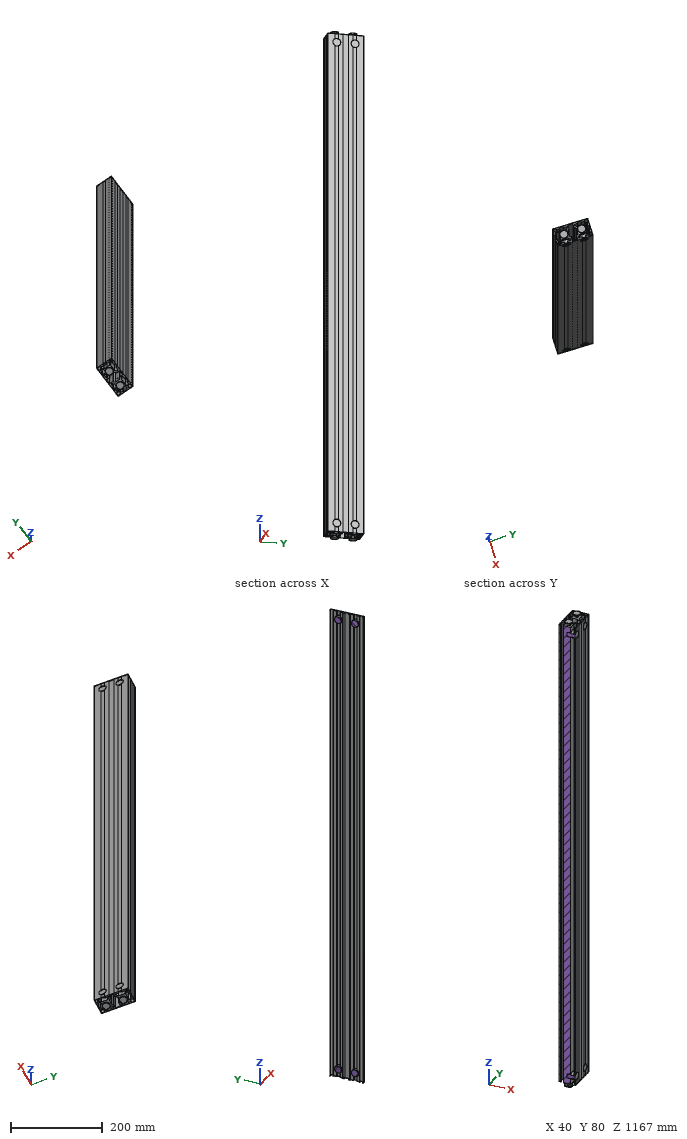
import cadquery as cq

overall_length = 1167.0
width = 40.0
depth = 80.0
protrusion = 8.8
half_length = overall_length / 2 - protrusion
profile_length = 2 * half_length
cell_y = (depth - width) / 2

slot_skin = 1.0
slot_neck_width = 7.9
slot_lip_depth = 4.2
slot_width = 23.0
slot_straight = 2.6
slot_floor_depth = 10.7

chamber_width = 16.0
chamber_height = 20.0
chamber_chamfer = 2.6
arm_height = 11.3
arm_skin = 1.9

corner_channel_diameter = 7.5
corner_channel_inset = 4.8

head_diameter = 18.0
head_thickness = 3.0
shank_diameter = 7.5
barrel_diameter = 18.0
barrel_depth = 20.0
barrel_length = width / 2


def make_slot(direction, y):
    """T-slot void of the cell at y, facing the given angle about Z."""
    face = width / 2
    neck_half = slot_neck_width / 2
    slot_half = slot_width / 2
    lip = face - slot_lip_depth
    bend = lip - slot_straight
    floor = face - slot_floor_depth
    floor_half = slot_half - (bend - floor)
    right_side = [
        (neck_half, face - slot_skin),
        (neck_half, lip),
        (slot_half, lip),
        (slot_half, bend),
        (floor_half, floor),
    ]
    left_side = [(-across, out) for across, out in reversed(right_side)]
    void = cq.Workplane("XY").polyline(right_side + left_side).close().extrude(profile_length)
    void = void.rotate((0, 0, 0), (0, 0, 1), direction - 90)
    return void.translate((0, y, -half_length))


def make_chamber():
    """Void between the two cells."""
    middle = (
        cq.Workplane("XY")
        .rect(chamber_width, chamber_height)
        .extrude(profile_length)
        .edges("|Z")
        .chamfer(chamber_chamfer)
    )
    arms = cq.Workplane("XY").rect(width - 2 * arm_skin, arm_height).extrude(profile_length)
    return middle.union(arms).translate((0, 0, -half_length))


def make_corner_channels():
    """Four round voids along the corners."""
    return (
        cq.Workplane("XY")
        .workplane(offset=-half_length)
        .rect(width - 2 * corner_channel_inset, depth - 2 * corner_channel_inset, forConstruction=True)
        .vertices()
        .circle(corner_channel_diameter / 2)
        .extrude(profile_length)
    )


def make_fastener(y, end):
    """Fastener on the cell axis at y; end is 1 for the +Z end and -1 for the -Z end."""
    barrel_z = half_length - barrel_depth
    head_underside = overall_length / 2 - head_thickness
    barrel_plane = cq.Plane(origin=(0, 0, barrel_z), xDir=(0, 0, 1), normal=(1, 0, 0))
    barrel = cq.Workplane(barrel_plane).circle(barrel_diameter / 2).extrude(barrel_length)
    shank = (
        cq.Workplane("XY")
        .workplane(offset=barrel_z)
        .circle(shank_diameter / 2)
        .extrude(head_underside - barrel_z)
    )
    head = (
        cq.Workplane("XY")
        .workplane(offset=head_underside)
        .circle(head_diameter / 2)
        .extrude(head_thickness)
    )
    fastener = barrel.union(shank).union(head)
    if end < 0:
        fastener = fastener.mirror("XY")
    return fastener.translate((0, y, 0)).solids()


def make_profile(fasteners):
    """Two-cell profile with its voids, and a matching recess for each fastener."""
    profile = cq.Workplane("XY").box(width, depth, profile_length)
    profile = profile.cut(make_chamber()).cut(make_corner_channels())
    for side in (1, -1):
        for direction in (0, 180, side * 90):
            profile = profile.cut(make_slot(direction, side * cell_y))
    for fastener in fasteners:
        profile = profile.cut(fastener)
    return profile.solids()


fasteners = []
for side in (1, -1):
    for end in (1, -1):
        fasteners.append(make_fastener(side * cell_y, end))
profile = make_profile(fasteners)

result = cq.Compound.makeCompound([profile.val(), *[fastener.val() for fastener in fasteners]])